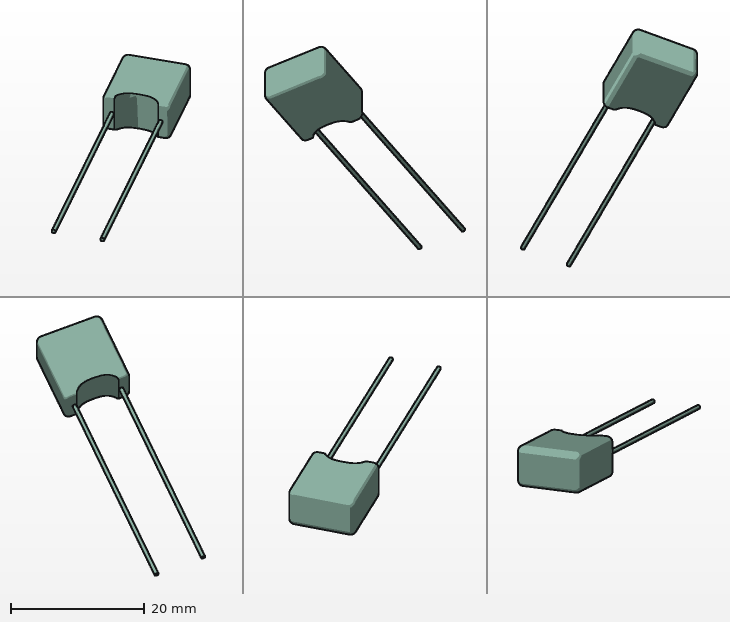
import cadquery as cq

TOTAL_LENGTH = 43.5
BODY_WIDTH = 10.65
BODY_LENGTH = 11.75
BODY_HEIGHT = 6.35
EDGE_RADIUS = 0.95
FRONT_EDGE_RADIUS = 0.52
NOTCH_HALF_WIDTH = 3.45
NOTCH_DEPTH = 1.65
LEAD_DIAMETER = 0.65
LEAD_PITCH = 7.6

FLANK_HALF_WIDTH = 3.05
FLANK_DEPTH = 0.65
FLANK_END_DIRECTION = (0.3, -1)

LEAD_LENGTH = TOTAL_LENGTH - BODY_LENGTH


def make_notch():
    """Arched cutter with steep ends, running through the full case height."""
    half = (
        cq.Workplane("XY")
        .workplane(offset=-BODY_HEIGHT / 2)
        .moveTo(0, NOTCH_DEPTH)
        .spline(
            [(FLANK_HALF_WIDTH, FLANK_DEPTH), (NOTCH_HALF_WIDTH, 0)],
            tangents=[(1, 0), FLANK_END_DIRECTION],
            includeCurrent=True,
        )
        .lineTo(0, 0)
        .close()
        .extrude(BODY_HEIGHT)
    )
    return half.union(half.mirror("YZ"))


def make_case():
    """Rounded block with an arched notch between the two lead faces."""
    block = (
        cq.Workplane("XY")
        .box(BODY_WIDTH, BODY_LENGTH, BODY_HEIGHT)
        .translate((0, BODY_LENGTH / 2, 0))
    )
    rounded = block.edges("|Y or >Y").fillet(EDGE_RADIUS)
    rounded = rounded.faces("<Y").edges().fillet(FRONT_EDGE_RADIUS)
    return rounded.cut(make_notch())


def make_lead(x):
    """Straight round wire standing on the lead face."""
    return (
        cq.Workplane("XZ")
        .center(x, 0)
        .circle(LEAD_DIAMETER / 2)
        .extrude(LEAD_LENGTH)
    )


case = make_case()
leads = [make_lead(side * LEAD_PITCH / 2) for side in (-1, 1)]

result = cq.Compound.makeCompound([case.val(), *[lead.val() for lead in leads]])